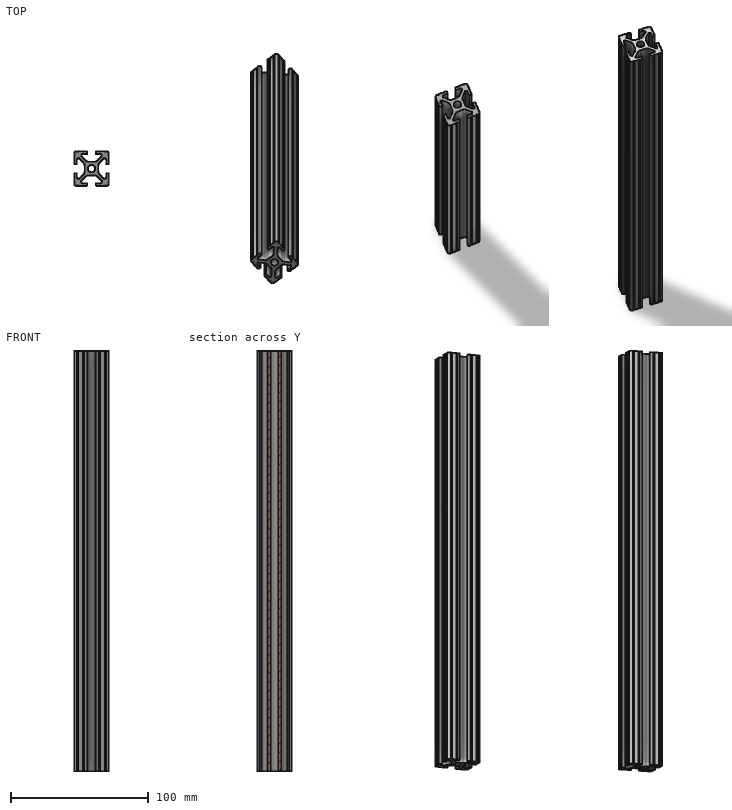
import cadquery as cq
import math

length = 304.8
side = 25.3
corner_radius = 1.8
slot_opening = 6.5
lip_thickness = 2.0
lip_radius = 0.75
slot_inner_width = 14.5
slot_corner_radius = 0.5
slot_wall_height = 1.2
web_thickness = 2.5
core_width = 10.0
core_fillet = 3.0
bore_diameter = 5.2
groove_offsets = (5.8, 10.0)
groove_width = 1.2
groove_depth = 0.37

half_side = side / 2
half_core = core_width / 2
half_opening = slot_opening / 2
half_inner = slot_inner_width / 2
lip_underside = half_side - lip_thickness
wall_bottom = lip_underside - slot_wall_height
web_shift = web_thickness / math.sqrt(2)


def make_bar():
    bar = cq.Workplane("XY").rect(side, side).extrude(length)
    return bar.edges("|Z").fillet(corner_radius)


def make_slot():
    """T-slot opening toward +Y, with flanks parallel to the diagonal webs."""
    right_half = [
        (half_opening, half_side),
        (half_opening, lip_underside),
        (half_inner, lip_underside),
        (half_inner, wall_bottom),
        (wall_bottom - web_shift, wall_bottom),
        (half_core - web_shift, half_core),
    ]
    left_half = [(-x, y) for x, y in reversed(right_half)]
    slot = cq.Workplane("XY").polyline(right_half + left_half).close().extrude(length)
    slot = slot.edges("|Z and <Y").fillet(core_fillet)
    for x in (-half_inner, half_inner):
        inner_corner = cq.selectors.NearestToPointSelector((x, lip_underside, length / 2))
        slot = slot.edges("|Z").edges(inner_corner).fillet(slot_corner_radius)
    return slot


def make_groove(x):
    """Shallow V-groove centred at x on the +Y outer face."""
    half_groove = groove_width / 2
    outline = [
        (x - half_groove, half_side),
        (x, half_side - groove_depth),
        (x + half_groove, half_side),
    ]
    return cq.Workplane("XY").polyline(outline).close().extrude(length)


result = make_bar()
slot = make_slot()
for turn in range(4):
    result = result.cut(slot.rotate((0, 0, 0), (0, 0, 1), 90 * turn))

for x in (-half_opening, half_opening):
    for y in (-half_side, half_side):
        for point in ((x, y), (y, x)):
            lip_edge = cq.selectors.NearestToPointSelector((*point, length / 2))
            result = result.edges("|Z").edges(lip_edge).fillet(lip_radius)

for turn in range(4):
    for offset in groove_offsets:
        for x in (-offset, offset):
            groove = make_groove(x).rotate((0, 0, 0), (0, 0, 1), 90 * turn)
            result = result.cut(groove)

bore = cq.Workplane("XY").circle(bore_diameter / 2).extrude(length)
result = result.cut(bore)